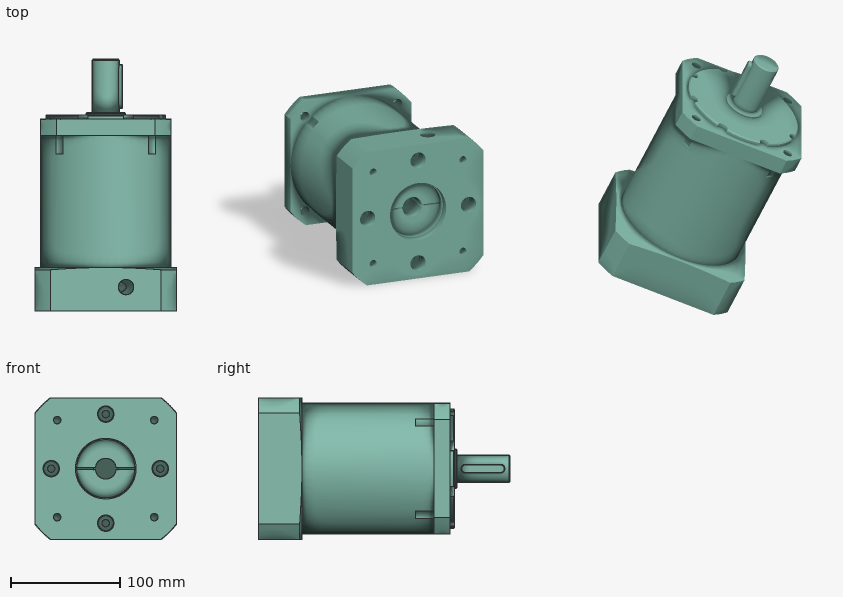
import cadquery as cq
import math


ADAPTER_LENGTH = 40.0
FLANGE_START = 161.0
FLANGE_THICKNESS = 15.0
PILOT_HEIGHT = 4.0
SEAL_HEIGHT = 2.0
TOTAL_LENGTH = 231.0
FLANGE_END = FLANGE_START + FLANGE_THICKNESS
PILOT_END = FLANGE_END + PILOT_HEIGHT
SEAL_END = PILOT_END + SEAL_HEIGHT

ADAPTER_SIDE = 130.0
ADAPTER_CORNER_DIA = 165.0
ADAPTER_BEVEL_DROP = 2.1
MOTOR_SCREW_PITCH = 89.0
MOTOR_SCREW_DIA = 6.8
MOTOR_SCREW_DEPTH = 20.0
DRILL_HALF_ANGLE = 59.0

BOLT_CIRCLE_DIA = 100.0
BOLT_MOUTH_DIA = 15.0
BOLT_MOUTH_DEPTH = 12.0
BOLT_HEAD_DIA = 14.0
BOLT_HEAD_DEPTH = 15.0
BOLT_SOCKET_DIA = 6.8
BOLT_SOCKET_DEPTH = 20.0

REGISTER_DIA = 55.6
REGISTER_DEPTH = 7.7
LIP_DIA = 53.4
HUB_FACE_DEPTH = 14.0
HUB_DIA = 55.3
HUB_GAP_DIA = 56.8
HUB_GAP_START = 15.0
HUB_GAP_END = 38.0
INPUT_BORE_DIA = 19.0
INPUT_BORE_END = 40.0
RELIEF_DIA = 22.4
RELIEF_END = 45.0
SLIT_WIDTH = 2.0
SLIT_END = 42.0

ACCESS_X = 18.6
ACCESS_Y = 22.0
ACCESS_DIA = 14.0
ACCESS_TIP_Z = 20.7

BODY_DIA = 120.0
FLANGE_SIDE = 120.0
FLANGE_CORNER_DIA = 150.0
FLANGE_HOLE_CIRCLE_DIA = 130.0
FLANGE_HOLE_DIA = 9.0
BODY_RELIEF_DIA = 14.0
BODY_RELIEF_LENGTH = 17.0

PILOT_DIA = 110.0
PILOT_CHAMFER = 1.0
NOTCH_DIA = 9.7
NOTCH_PITCH_ANGLE = 45.0
NOTCH_START_ANGLE = 22.5
NOTCH_COUNT = 8
UNNOTCHED_INDEX = 3

SEAL_DIA = 36.0
SEAL_CHAMFER = 0.7
SHAFT_DIA = 25.0
SHAFT_CHAMFER = 1.0
KEY_WIDTH = 8.0
KEY_LENGTH = 40.0
KEY_END_GAP = 5.0
KEY_TOP = 15.5
KEY_HEIGHT = 7.0
KEY_CHAMFER = 0.5


def cylinder(diameter, start, end, x=0.0, z=0.0):
    """Cylinder parallel to Y between two stations."""
    plane = cq.Workplane("XZ", origin=(0, start, 0))
    return plane.center(x, z).circle(diameter / 2).extrude(start - end)


def square_block(side, start, end):
    """Square prism on the axis between two stations."""
    return cq.Workplane("XZ", origin=(0, start, 0)).rect(side, side).extrude(start - end)


def polar(radius, angle):
    """X and Z of a point at a radius and an angle in degrees from +X."""
    return radius * math.cos(math.radians(angle)), radius * math.sin(math.radians(angle))


def drill_tip_length(diameter):
    return diameter / 2 / math.tan(math.radians(DRILL_HALF_ANGLE))


def make_adapter():
    block = square_block(ADAPTER_SIDE, 0, ADAPTER_LENGTH)
    corner_radius = ADAPTER_CORNER_DIA / 2
    turned = (
        cq.Workplane("XY")
        .moveTo(0, 0)
        .lineTo(corner_radius, 0)
        .lineTo(corner_radius, ADAPTER_LENGTH - ADAPTER_BEVEL_DROP)
        .lineTo(ADAPTER_SIDE / 2, ADAPTER_LENGTH)
        .lineTo(0, ADAPTER_LENGTH)
        .close()
        .revolve(360, (0, 0, 0), (0, 1, 0))
    )
    return block.intersect(turned)


def make_flange():
    block = square_block(FLANGE_SIDE, FLANGE_START, FLANGE_END)
    return block.intersect(cylinder(FLANGE_CORNER_DIA, FLANGE_START, FLANGE_END))


def make_pilot():
    pilot = cylinder(PILOT_DIA, FLANGE_END, PILOT_END).faces(">Y").chamfer(PILOT_CHAMFER)
    for index in range(NOTCH_COUNT):
        if index == UNNOTCHED_INDEX:
            continue
        x, z = polar(PILOT_DIA / 2, NOTCH_START_ANGLE + index * NOTCH_PITCH_ANGLE)
        pilot = pilot.cut(cylinder(NOTCH_DIA, FLANGE_END, PILOT_END, x, z))
    return pilot


def make_shaft():
    seal = cylinder(SEAL_DIA, FLANGE_END, SEAL_END).faces(">Y").chamfer(SEAL_CHAMFER)
    shaft = cylinder(SHAFT_DIA, FLANGE_END, TOTAL_LENGTH).faces(">Y").chamfer(SHAFT_CHAMFER)
    return seal.union(shaft)


def make_key():
    middle = TOTAL_LENGTH - KEY_END_GAP - KEY_LENGTH / 2
    return (
        cq.Workplane("YZ", origin=(KEY_TOP - KEY_HEIGHT, middle, 0))
        .slot2D(KEY_LENGTH, KEY_WIDTH)
        .extrude(KEY_HEIGHT)
        .faces(">X")
        .chamfer(KEY_CHAMFER)
    )


def cut_flange_holes(part):
    for angle in range(45, 360, 90):
        x, z = polar(FLANGE_HOLE_CIRCLE_DIA / 2, angle)
        part = part.cut(cylinder(FLANGE_HOLE_DIA, FLANGE_START, FLANGE_END, x, z))
        relief_start = FLANGE_START - BODY_RELIEF_LENGTH
        part = part.cut(cylinder(BODY_RELIEF_DIA, relief_start, FLANGE_START, x, z))
    return part


def cut_motor_screw_holes(part):
    radius = MOTOR_SCREW_DIA / 2
    offset = MOTOR_SCREW_PITCH / 2
    tip = MOTOR_SCREW_DEPTH + drill_tip_length(MOTOR_SCREW_DIA)
    for x in (-offset, offset):
        for z in (-offset, offset):
            hole = (
                cq.Workplane("XY", origin=(x, 0, z))
                .polyline([(0, 0), (radius, 0), (radius, MOTOR_SCREW_DEPTH), (0, tip)])
                .close()
                .revolve(360, (0, 0, 0), (0, 1, 0))
            )
            part = part.cut(hole)
    return part


def cut_bolt_holes(part):
    for angle in range(0, 360, 90):
        x, z = polar(BOLT_CIRCLE_DIA / 2, angle)
        part = part.cut(cylinder(BOLT_MOUTH_DIA, 0, BOLT_MOUTH_DEPTH, x, z))
        part = part.cut(cylinder(BOLT_HEAD_DIA, 0, BOLT_HEAD_DEPTH, x, z))
        part = part.cut(cylinder(BOLT_SOCKET_DIA, 0, BOLT_SOCKET_DEPTH, x, z))
    return part


def cut_input_side(part):
    part = part.cut(cylinder(REGISTER_DIA, 0, REGISTER_DEPTH))
    part = part.cut(cylinder(LIP_DIA, 0, HUB_FACE_DEPTH))
    gap = cylinder(HUB_GAP_DIA, HUB_GAP_START, HUB_GAP_END)
    part = part.cut(gap.cut(cylinder(HUB_DIA, HUB_GAP_START, HUB_GAP_END)))
    part = part.cut(cylinder(INPUT_BORE_DIA, HUB_FACE_DEPTH, INPUT_BORE_END))
    part = part.cut(cylinder(RELIEF_DIA, INPUT_BORE_END, RELIEF_END))
    slit_plane = cq.Workplane("XZ", origin=(0, HUB_FACE_DEPTH, 0))
    slit = slit_plane.rect(LIP_DIA, SLIT_WIDTH).extrude(HUB_FACE_DEPTH - SLIT_END)
    return part.cut(slit)


def cut_access_hole(part):
    radius = ACCESS_DIA / 2
    shoulder = ACCESS_TIP_Z + drill_tip_length(ACCESS_DIA)
    top = ADAPTER_SIDE / 2
    hole = (
        cq.Workplane("XZ", origin=(ACCESS_X, ACCESS_Y, 0))
        .polyline([(0, ACCESS_TIP_Z), (radius, shoulder), (radius, top), (0, top)])
        .close()
        .revolve(360, (0, 0, 0), (0, 1, 0))
    )
    return part.cut(hole)


result = make_adapter().union(cylinder(BODY_DIA, 0, FLANGE_START)).union(make_flange())
result = cut_flange_holes(result)
result = result.union(make_pilot()).union(make_shaft()).union(make_key())
result = cut_motor_screw_holes(result)
result = cut_bolt_holes(result)
result = cut_input_side(result)
result = cut_access_hole(result)